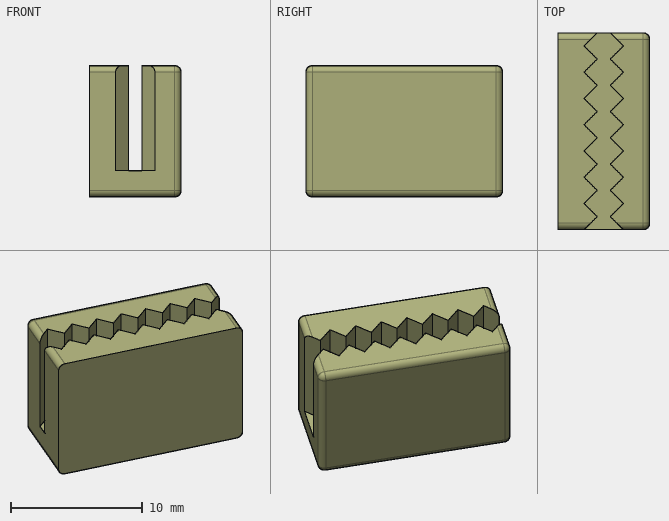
import cadquery as cq

length = 15.0
flank_count = 15
flank_run = length / flank_count
tooth_depth = flank_run

width = 7 * tooth_depth
height = 10 * tooth_depth
floor_thickness = 2 * tooth_depth
left_wall = 2 * tooth_depth
crest_gap = tooth_depth
edge_radius = tooth_depth / 2


def make_block():
    """Block with all edges rounded except the four around its flat -X face."""
    block = cq.Workplane("XY").box(width, length, height)
    return block.edges("|X or >X").fillet(edge_radius)


def make_slot():
    """Mirror-symmetric serrated slot, open at the top and at both ends."""
    root_left = -width / 2 + left_wall
    center = root_left + tooth_depth + crest_gap / 2
    left_side = []
    right_side = []
    for i in range(flank_count + 1):
        y = -length / 2 + i * flank_run
        half_gap = crest_gap / 2
        if i % 2 == 0:
            half_gap += tooth_depth
        left_side.append((center - half_gap, y))
        right_side.append((center + half_gap, y))
    floor = cq.Workplane("XY").workplane(offset=-height / 2 + floor_thickness)
    return floor.polyline(left_side + right_side[::-1]).close().extrude(height - floor_thickness)


result = make_block().cut(make_slot())